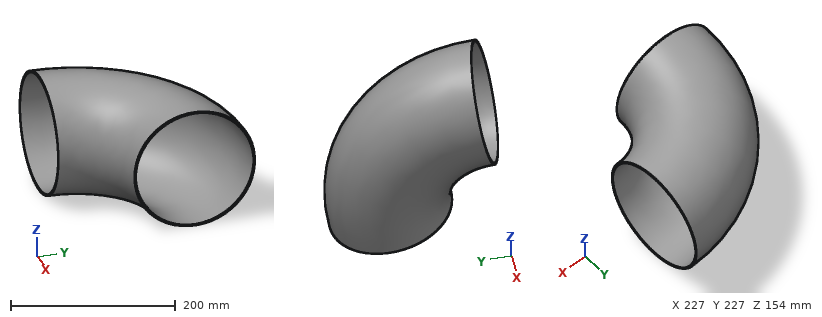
import cadquery as cq

overall_length = 227.0
outer_diameter = 154.0
wall_thickness = 2.0
bend_angle = 90.0

outer_radius = outer_diameter / 2
inner_radius = outer_radius - wall_thickness
bend_radius = overall_length - outer_radius

pipe_section = (
    cq.Workplane("XZ")
    .center(-bend_radius, 0)
    .circle(outer_radius)
    .circle(inner_radius)
)

axis_start = (bend_radius, 0)
axis_end = (bend_radius, -1)
result = pipe_section.revolve(bend_angle, axis_start, axis_end)